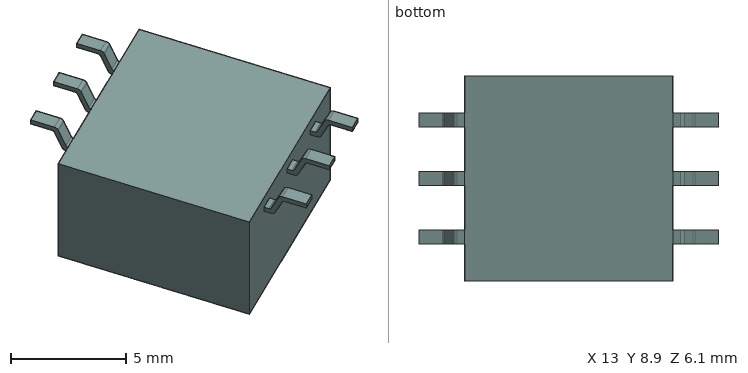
import cadquery as cq
import math

overall_length = 13.0
overall_height = 6.1

body_length = 9.02
body_width = 8.9
body_height = 5.7

lead_count = 3
lead_pitch = 2.54
lead_width = 0.61
lead_thickness = 0.25
lead_height = 1.24
foot_length = 1.25
slope_run = 0.44
outer_bend_radius = 0.2
inner_bend_radius = 0.1

tip_x = -overall_length / 2
body_side_x = -body_length / 2
foot_top = overall_height
foot_bottom = foot_top - lead_thickness
root_bottom = foot_top - lead_height
root_top = root_bottom + lead_thickness
upper_bend_x = tip_x + foot_length
lower_bend_x = upper_bend_x + slope_run

slope_angle = math.atan2(foot_top - root_top, slope_run)
corner_shift = lead_thickness * math.tan(slope_angle / 2)


def make_body():
    return cq.Workplane("XY").box(body_length, body_width, body_height, centered=(True, True, False))


def bend_edge(x, z):
    """Select the lead edge running along Y through the corner (x, z)."""
    return cq.selectors.NearestToPointSelector((x, 0, z))


def make_lead():
    """Left-hand lead, centred on Y = 0, with rounded bends."""
    strip = (
        cq.Workplane("XZ")
        .moveTo(tip_x, foot_top)
        .lineTo(upper_bend_x, foot_top)
        .lineTo(lower_bend_x, root_top)
        .lineTo(body_side_x, root_top)
        .lineTo(body_side_x, root_bottom)
        .lineTo(lower_bend_x - corner_shift, root_bottom)
        .lineTo(upper_bend_x - corner_shift, foot_bottom)
        .lineTo(tip_x, foot_bottom)
        .close()
        .extrude(lead_width / 2, both=True)
    )
    bends = [
        (upper_bend_x, foot_top, outer_bend_radius),
        (lower_bend_x - corner_shift, root_bottom, outer_bend_radius),
        (lower_bend_x, root_top, inner_bend_radius),
        (upper_bend_x - corner_shift, foot_bottom, inner_bend_radius),
    ]
    for x, z, radius in bends:
        strip = strip.edges("|Y").edges(bend_edge(x, z)).fillet(radius)
    return strip


result = make_body()
left_lead = make_lead()
right_lead = left_lead.mirror("YZ")
for index in range(lead_count):
    lead_y = (index - (lead_count - 1) / 2) * lead_pitch
    for lead in (left_lead, right_lead):
        result = result.union(lead.translate((0, lead_y, 0)))